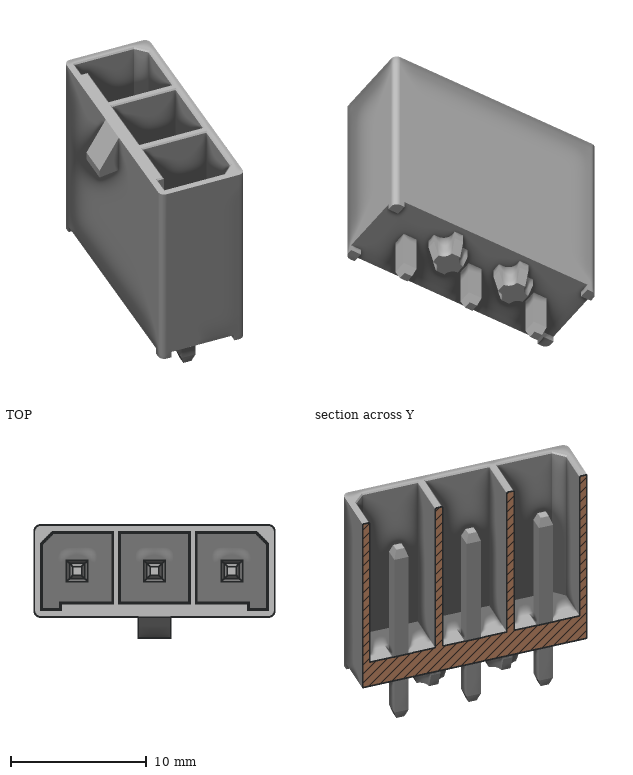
import cadquery as cq

TOTAL_HEIGHT = 18.5
HOUSING_WIDTH = 17.75
HOUSING_DEPTH = 6.79
HOUSING_BOTTOM = 3.72
CORNER_RADIUS = 0.48

FOOT_SIZE = 0.85
FOOT_HEIGHT = 0.5

LATCH_WIDTH = 2.4
LATCH_REACH = 1.55
LATCH_RAMP_DROP = 2.59
LATCH_TIP_DROP = 3.22
LATCH_ROOT_DROP = 3.0
LATCH_OVERLAP = 0.18

PITCH = 5.7
WALL = 0.5
DIVIDER = 0.4
CELL_WIDTH = 5.24
CAVITY_DEPTH = 12.58
RIM_CHAMFER = 0.1
LEDGE_THICKNESS = 1.0
KEY_SLOT_WIDTH = 1.5
CAVITY_CORNER_CUT = 0.87

PIN_SIZE = 1.13
PIN_TIP_SIZE = 0.65
PIN_TIP_LENGTH = 0.7
PIN_RISE = 9.25
FUNNEL_SIZE = 1.6
FUNNEL_DEPTH = (FUNNEL_SIZE - PIN_SIZE) / 2

PEG_Y = 1.31
PEG_SPAN = 2.96
PEG_TIP_SPAN = 2.15
PEG_ARM_WIDTH = 0.74
PEG_ROOT_RADIUS = 0.74
PEG_LENGTH = 1.92
PEG_TAPER_LENGTH = 1.24

half_width = HOUSING_WIDTH / 2
half_depth = HOUSING_DEPTH / 2
cavity_floor = TOTAL_HEIGHT - CAVITY_DEPTH
cavity_back = half_depth - WALL
ledge_face = -half_depth + LEDGE_THICKNESS
pin_positions = [-PITCH, 0, PITCH]
peg_positions = [-PITCH / 2, PITCH / 2]


def square_taper(x, y, z, base_size, end_size, height):
    """Square frustum from base_size at height z to end_size; a negative height points down."""
    return (
        cq.Workplane("XY", origin=(x, y, z))
        .rect(base_size, base_size)
        .workplane(offset=height)
        .rect(end_size, end_size)
        .loft(ruled=True)
    )


def make_housing():
    foot_bottom = HOUSING_BOTTOM - FOOT_HEIGHT
    block = (
        cq.Workplane("XY", origin=(0, 0, foot_bottom))
        .rect(HOUSING_WIDTH, HOUSING_DEPTH)
        .extrude(TOTAL_HEIGHT - foot_bottom)
        .edges("|Z")
        .fillet(CORNER_RADIUS)
    )
    channels = cq.Workplane("XY", origin=(0, 0, foot_bottom))
    across = channels.rect(HOUSING_WIDTH - 2 * FOOT_SIZE, HOUSING_DEPTH).extrude(FOOT_HEIGHT)
    along = channels.rect(HOUSING_WIDTH, HOUSING_DEPTH - 2 * FOOT_SIZE).extrude(FOOT_HEIGHT)
    return block.cut(across).cut(along)


def make_latch():
    tip_y = -half_depth - LATCH_REACH
    root_z = TOTAL_HEIGHT - LATCH_ROOT_DROP
    profile = [
        (-half_depth, TOTAL_HEIGHT),
        (tip_y, TOTAL_HEIGHT - LATCH_RAMP_DROP),
        (tip_y, TOTAL_HEIGHT - LATCH_TIP_DROP),
        (-half_depth, root_z),
        (-half_depth + LATCH_OVERLAP, root_z),
        (-half_depth + LATCH_OVERLAP, TOTAL_HEIGHT),
    ]
    return cq.Workplane("YZ").polyline(profile).close().extrude(LATCH_WIDTH / 2, both=True)


def make_cavity(outline):
    """Cavity cutter whose mouth flares out to the given outline."""
    cavity = cq.Workplane("XY", origin=(0, 0, cavity_floor)).polyline(outline).close()
    inner = cavity.offset2D(-RIM_CHAMFER, "intersection").extrude(CAVITY_DEPTH)
    mouth = cq.Workplane("XY", origin=(0, 0, TOTAL_HEIGHT)).polyline(outline).close()
    flare = mouth.extrude(-RIM_CHAMFER, taper=45)
    return inner.union(flare)


def make_middle_cavity():
    half_cell = CELL_WIDTH / 2
    return make_cavity([
        (-half_cell, ledge_face),
        (half_cell, ledge_face),
        (half_cell, cavity_back),
        (-half_cell, cavity_back),
    ])


def make_left_cavity():
    """End cavity with a cut back corner and a keying slot beside the front ledge."""
    outer_x = -half_width + WALL
    inner_x = -CELL_WIDTH / 2 - DIVIDER
    slot_x = outer_x + KEY_SLOT_WIDTH
    slot_front = -half_depth + WALL
    return make_cavity([
        (outer_x, slot_front),
        (slot_x, slot_front),
        (slot_x, ledge_face),
        (inner_x, ledge_face),
        (inner_x, cavity_back),
        (outer_x + CAVITY_CORNER_CUT, cavity_back),
        (outer_x, cavity_back - CAVITY_CORNER_CUT),
    ])


def make_pin(x):
    top = cavity_floor + PIN_RISE
    shank_length = top - 2 * PIN_TIP_LENGTH
    pin = (
        cq.Workplane("XY", origin=(x, 0, PIN_TIP_LENGTH))
        .rect(PIN_SIZE, PIN_SIZE)
        .extrude(shank_length)
    )
    tail_tip = square_taper(x, 0, PIN_TIP_LENGTH, PIN_SIZE, PIN_TIP_SIZE, -PIN_TIP_LENGTH)
    mating_tip = square_taper(x, 0, top - PIN_TIP_LENGTH, PIN_SIZE, PIN_TIP_SIZE, PIN_TIP_LENGTH)
    return pin.union(tail_tip).union(mating_tip)


def make_peg(x):
    bottom = HOUSING_BOTTOM - PEG_LENGTH
    plane = cq.Workplane("XY", origin=(x, PEG_Y, bottom))
    cross = (
        plane.rect(PEG_SPAN, PEG_ARM_WIDTH)
        .extrude(PEG_LENGTH)
        .union(plane.rect(PEG_ARM_WIDTH, PEG_SPAN).extrude(PEG_LENGTH))
    )
    inner_corner = cq.selectors.BoxSelector(
        (x - PEG_ARM_WIDTH, PEG_Y - PEG_ARM_WIDTH, bottom),
        (x + PEG_ARM_WIDTH, PEG_Y + PEG_ARM_WIDTH, HOUSING_BOTTOM),
    )
    cross = cross.edges("|Z").edges(inner_corner).fillet(PEG_ROOT_RADIUS)
    tapered_end = square_taper(x, PEG_Y, bottom, PEG_TIP_SPAN, PEG_SPAN, PEG_TAPER_LENGTH)
    straight_end = (
        plane.workplane(offset=PEG_TAPER_LENGTH)
        .rect(PEG_SPAN, PEG_SPAN)
        .extrude(PEG_LENGTH - PEG_TAPER_LENGTH)
    )
    return cross.intersect(tapered_end.union(straight_end))


left_cavity = make_left_cavity()
result = make_housing().union(make_latch())
result = result.cut(make_middle_cavity()).cut(left_cavity).cut(left_cavity.mirror("YZ"))

for pin_x in pin_positions:
    result = result.cut(square_taper(pin_x, 0, cavity_floor, FUNNEL_SIZE, PIN_SIZE, -FUNNEL_DEPTH))
    result = result.union(make_pin(pin_x))

for peg_x in peg_positions:
    result = result.union(make_peg(peg_x))